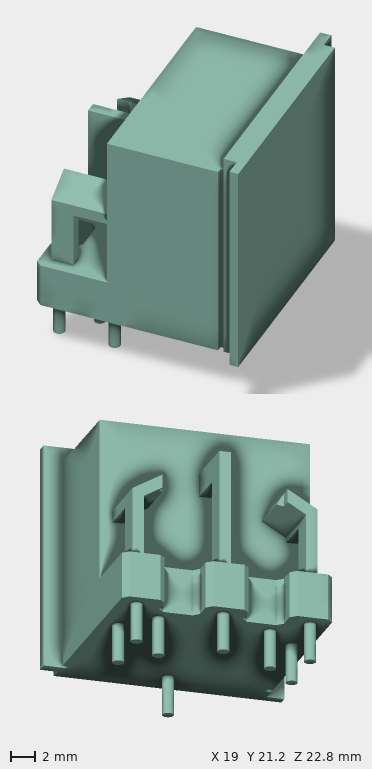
import cadquery as cq
import math


overall_length = 19.0
housing_width = 18.2
housing_height = 18.01
housing_back = 6.5
base_height = 4.0

plate_thickness = 1.98
plate_height = 19.5
lap_width = 1.5
rear_lap_thickness = 1.0
front_lap_thickness = 0.8
plate_back = overall_length - plate_thickness

groove_size = 0.5

tooth_width = 3.7
notch_depth = 2.5
corner_chamfer = 0.5
notch_width = (housing_width - 3 * tooth_width) / 2
notch_offset = (tooth_width + notch_width) / 2

strip_thickness = 1.0
leg_width = 2.0
terminal_back = 1.0
center_terminal_height = 14.23
center_arm_depth = 2.0
side_terminal_offset = 7.5
side_bend_height = 10.05
side_arm_depth = 1.0
side_tip_angle = 30
side_tip_length = 2.99

pin_diameter = 1.0
pin_length = 3.3
rear_pin_x = terminal_back + pin_diameter / 2
inner_pin_x = 4.0
inner_pin_y = 4.83
outer_pin_x = housing_back
front_pin_x = 16.5


def box(x_range, y_range, z_range):
    """Axis-aligned block between the given limits."""
    x_min, x_max = x_range
    y_min, y_max = y_range
    z_min, z_max = z_range
    size = (x_max - x_min, y_max - y_min, z_max - z_min)
    return cq.Workplane("XY").box(*size, centered=False).translate((x_min, y_min, z_min))


def centered_range(center, width):
    """Limits of a span of the given width around its center."""
    return (center - width / 2, center + width / 2)


def make_base():
    """Full-length slab with its two rear corners chamfered."""
    base = box((0, plate_back), centered_range(0, housing_width), (0, base_height))
    return base.edges("|Z and <X").chamfer(corner_chamfer)


def make_center_terminal():
    """Flat strip with an upright leg and a straight arm running into the housing."""
    y_range = centered_range(0, strip_thickness)
    arm_bottom = center_terminal_height - center_arm_depth
    leg = box((terminal_back, terminal_back + leg_width), y_range, (base_height, center_terminal_height))
    arm = box((terminal_back, housing_back), y_range, (arm_bottom, center_terminal_height))
    return leg.union(arm)


def make_side_terminal():
    """Terminal on the -Y side, with its upper edge bent over toward the middle."""
    angle = math.radians(side_tip_angle)
    outer_y = -side_terminal_offset - strip_thickness / 2
    inner_y = outer_y + strip_thickness
    tip_y = outer_y + side_tip_length * math.cos(angle)
    tip_z = side_bend_height + side_tip_length * math.sin(angle)
    turn = math.pi / 2 - angle
    inner_bend_z = side_bend_height - strip_thickness * math.tan(turn / 2)
    profile = [
        (outer_y, base_height),
        (outer_y, side_bend_height),
        (tip_y, tip_z),
        (tip_y + strip_thickness * math.sin(angle), tip_z - strip_thickness * math.cos(angle)),
        (inner_y, inner_bend_z),
        (inner_y, base_height),
    ]
    strip = cq.Workplane("YZ", origin=(terminal_back, 0, 0)).polyline(profile).close()
    strip = strip.extrude(housing_back - terminal_back)
    window_top = side_bend_height - side_arm_depth
    window = box((terminal_back + leg_width, housing_back), (outer_y, inner_y), (base_height, window_top))
    return strip.cut(window)


def make_notch(center_y):
    """Cutter for one notch: flared at its mouth and beveled at its inner corners."""
    half = notch_width / 2
    half_profile = [
        (0, half + corner_chamfer),
        (corner_chamfer, half),
        (notch_depth - corner_chamfer, half),
        (notch_depth, half - corner_chamfer),
    ]
    mirrored = [(x, -y) for x, y in reversed(half_profile)]
    notch = cq.Workplane("XY").polyline(half_profile + mirrored).close().extrude(housing_height)
    return notch.translate((0, center_y, 0))


def make_groove(side):
    """Cutter for the full-height groove between one housing side and the faceplate."""
    y_range = centered_range(side * (housing_width - groove_size) / 2, groove_size)
    return box((plate_back - groove_size, plate_back), y_range, (0, housing_height))


def make_faceplate():
    """Plate whose rear half laps out on the +Y side and front half on the -Y side."""
    edge = housing_width / 2
    z_range = (0, plate_height)
    plate = box((plate_back, overall_length), (-edge, edge), z_range)
    rear_lap = box((plate_back, plate_back + rear_lap_thickness), (edge, edge + lap_width), z_range)
    front_lap_back = overall_length - front_lap_thickness
    front_lap = box((front_lap_back, overall_length), (-edge - lap_width, -edge), z_range)
    return plate.union(rear_lap).union(front_lap)


def make_pins():
    """Round solder pins hanging below the base."""
    positions = [(rear_pin_x, 0), (front_pin_x, 0)]
    for side in (-1, 1):
        positions.append((rear_pin_x, side * side_terminal_offset))
        positions.append((inner_pin_x, side * inner_pin_y))
        positions.append((outer_pin_x, side * side_terminal_offset))
    return cq.Workplane("XY").pushPoints(positions).circle(pin_diameter / 2).extrude(-pin_length)


side_terminal = make_side_terminal()
rear = make_base().union(make_center_terminal())
rear = rear.union(side_terminal).union(side_terminal.mirror("XZ"))
for side in (-1, 1):
    rear = rear.cut(make_notch(side * notch_offset))

housing = box((housing_back, plate_back), centered_range(0, housing_width), (0, housing_height))
body = rear.union(housing)
for side in (-1, 1):
    body = body.cut(make_groove(side))

result = body.union(make_faceplate()).union(make_pins())